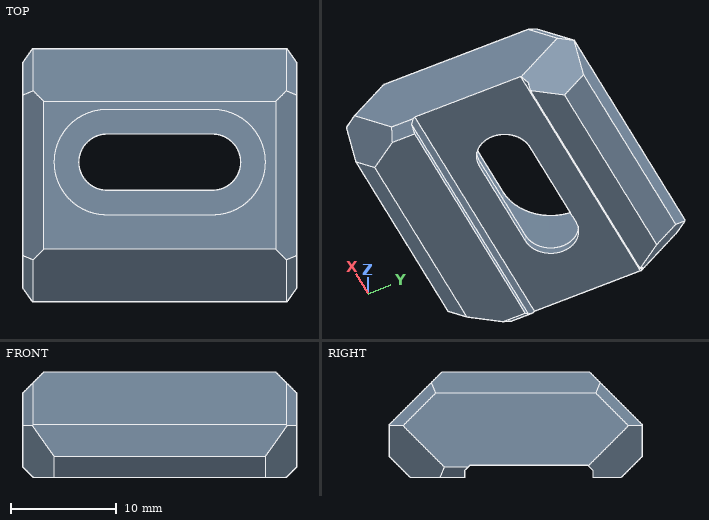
import cadquery as cq
import math

length = 26.0
width = 24.0
height = 10.0
upper_bevel = 5.0
lower_bevel = 2.0

top_chamfer = 2.0
bottom_chamfer = 1.0
upper_bevel_chamfer = 1.0
lower_bevel_chamfer = 3.0

slot_y = 1.25
slot_centre_distance = 10.0
pocket_width = 10.0
slot_width = 5.3
pocket_floor = 2.0

groove_width = 12.15
groove_depth = 1.17
groove_bevel = 0.5

half_length = length / 2
half_width = width / 2


def extrude_along_x(points):
    """Extrude a closed (Y, Z) outline over the full length, centred on X = 0."""
    return cq.Workplane("YZ").polyline(points).close().extrude(half_length, both=True)


def block():
    half_top = half_width - upper_bevel
    half_bottom = half_width - lower_bevel
    shoulder = height - upper_bevel
    right_side = [
        (half_bottom, 0),
        (half_width, lower_bevel),
        (half_width, shoulder),
        (half_top, height),
    ]
    left_side = [(-y, z) for y, z in reversed(right_side)]
    return extrude_along_x(right_side + left_side)


def end_chamfer(y, z, face_angle, setback):
    """Wedges at both ends of the face through (y, z) whose normal is face_angle degrees above +Y."""
    angle = math.radians(face_angle)
    normal = cq.Vector(0, math.cos(angle), math.sin(angle))
    wedges = cq.Workplane()
    for end in (-1, 1):
        plane = cq.Plane(
            origin=(end * half_length, y, z),
            xDir=(end, 0, 0),
            normal=cq.Vector(end, 0, 0).cross(normal),
        )
        wedge = (
            cq.Workplane(plane)
            .polyline([(-setback, 0), (0, 0), (0, -setback)])
            .close()
            .extrude(width, both=True)
        )
        wedges = wedges.add(wedge)
    return wedges.combine()


def obround(overall_width, bottom, top):
    return (
        cq.Workplane("XY", origin=(0, slot_y, bottom))
        .slot2D(slot_centre_distance + overall_width, overall_width)
        .extrude(top - bottom)
    )


def groove():
    half_groove = groove_width / 2
    half_roof = half_groove - groove_bevel
    bevel_start = groove_depth - groove_bevel
    return extrude_along_x([
        (slot_y - half_groove, 0),
        (slot_y - half_groove, bevel_start),
        (slot_y - half_roof, groove_depth),
        (slot_y + half_roof, groove_depth),
        (slot_y + half_groove, bevel_start),
        (slot_y + half_groove, 0),
    ])


result = block()

result = result.cut(end_chamfer(0, height, 90, top_chamfer))
result = result.cut(end_chamfer(0, 0, -90, bottom_chamfer))

for side in (-1, 1):
    upper_angle = 90 - side * 45
    result = result.cut(
        end_chamfer(side * half_width, height - upper_bevel, upper_angle, upper_bevel_chamfer)
    )
    result = result.cut(
        end_chamfer(side * half_width, lower_bevel, -upper_angle, lower_bevel_chamfer)
    )

result = result.cut(groove())
result = result.cut(obround(pocket_width, pocket_floor, height))
result = result.cut(obround(slot_width, 0, height))